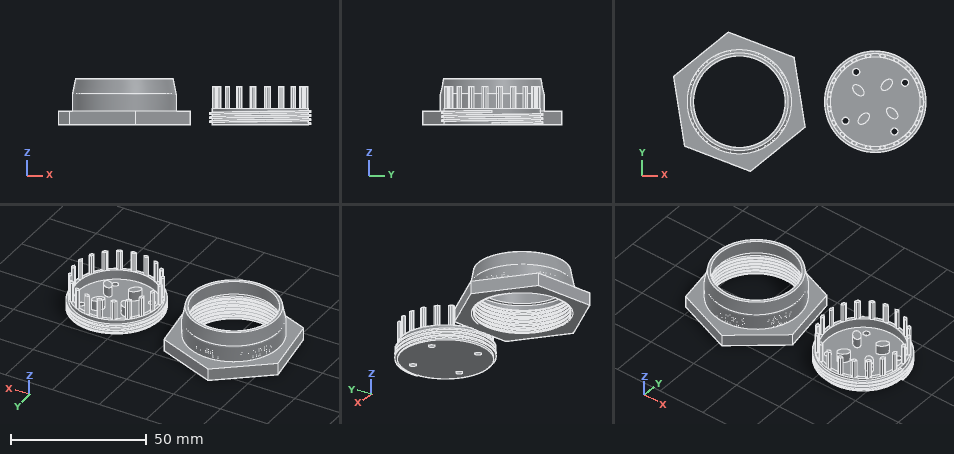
import cadquery as cq
import math

PITCH = 1.5

HEX_FLATS = 45.0
HEX_TURN = 39.0
HEX_HEIGHT = 5.0
COLLAR_DIAMETER = 38.4
COLLAR_TOP = 11.0
CONE_TOP_DIAMETER = 36.0
NUT_HEIGHT = 17.0
LIP_BORE = 33.6
LIP_BOTTOM = 11.5
NUT_ROOT_DIAMETER = 37.4
NUT_CREST_DIAMETER = 35.9
NUT_THREAD_START = -0.9
NUT_THREAD_ANGLE = 60.0
NUT_THREAD_TURNS = 7
NUT_BASE_WIDTH = 0.8
NUT_CREST_WIDTH = 0.5

CAP_X = 50.0
CAP_DIAMETER = 35.4
CAP_BORE = 33.0
CAP_HEIGHT = 6.0
FLOOR_THICKNESS = 2.0
CAP_THREAD_DIAMETER = 37.4
CAP_BASE_WIDTH = 0.8
CAP_CREST_WIDTH = 0.6
CAP_THREAD_START = 0.5
CAP_THREAD_TURNS = 3

PRONG_COUNT = 20
PRONG_TOP = 14.0
PRONG_WIDTH = 2.2
PRONG_FACE_WIDTH = 0.8

QUARTERS = 4
HOLE_DIAMETER = 2.5
HOLE_RADIUS = 13.0
HOLE_ANGLE = 32.7
BOSS_LENGTH = 5.0
BOSS_WIDTH = 3.1
BOSS_RADIUS = 7.5
BOSS_ANGLE = 55.8
BOSS_TILT = 45.0
BOSS_TOP = CAP_HEIGHT

THREAD_EMBED = 0.1


def thread_ridge(root_radius, crest_radius, base_width, crest_width, turns):
    """Helical trapezoidal ridge that starts at +X, centred on Z = 0 there.

    Its flanks run on past the root, so that the ridge overlaps the wall it stands on.
    """
    embed = math.copysign(THREAD_EMBED, root_radius - crest_radius)
    flank_slope = (base_width - crest_width) / (root_radius - crest_radius)
    embedded_width = base_width + flank_slope * embed
    profile = (
        cq.Workplane("XZ")
        .moveTo(root_radius + embed, -embedded_width / 2)
        .lineTo(crest_radius, -crest_width / 2)
        .lineTo(crest_radius, crest_width / 2)
        .lineTo(root_radius + embed, embedded_width / 2)
        .close()
    )
    helix = cq.Wire.makeHelix(PITCH, turns * PITCH, root_radius)
    return profile.sweep(cq.Workplane(obj=helix), isFrenet=True)


def make_nut():
    corner_diameter = HEX_FLATS / math.cos(math.pi / 6)
    flange = (
        cq.Workplane("XY")
        .polygon(6, corner_diameter)
        .extrude(HEX_HEIGHT)
        .rotate((0, 0, 0), (0, 0, 1), HEX_TURN)
    )
    collar = (
        cq.Workplane("XZ")
        .moveTo(0, 0)
        .lineTo(COLLAR_DIAMETER / 2, 0)
        .lineTo(COLLAR_DIAMETER / 2, COLLAR_TOP)
        .lineTo(CONE_TOP_DIAMETER / 2, NUT_HEIGHT)
        .lineTo(0, NUT_HEIGHT)
        .close()
        .revolve(360, (0, 0), (0, 1))
    )
    lip_bore = cq.Workplane("XY", origin=(0, 0, LIP_BOTTOM)).circle(LIP_BORE / 2).extrude(NUT_HEIGHT - LIP_BOTTOM)
    thread_bore = cq.Workplane("XY").circle(NUT_ROOT_DIAMETER / 2).extrude(LIP_BOTTOM)
    ridge = thread_ridge(
        NUT_ROOT_DIAMETER / 2, NUT_CREST_DIAMETER / 2, NUT_BASE_WIDTH, NUT_CREST_WIDTH, NUT_THREAD_TURNS
    )
    placed_ridge = (
        ridge
        .rotate((0, 0, 0), (0, 0, 1), NUT_THREAD_ANGLE)
        .translate((0, 0, NUT_THREAD_START))
    )
    return flange.union(collar).cut(lip_bore).cut(thread_bore.cut(placed_ridge))


def make_prongs():
    """Flattened hexagonal prongs as thick as the rim wall."""
    wall = (CAP_DIAMETER - CAP_BORE) / 2
    outline = [
        (0, -PRONG_WIDTH / 2),
        (wall / 2, -PRONG_FACE_WIDTH / 2),
        (wall / 2, PRONG_FACE_WIDTH / 2),
        (0, PRONG_WIDTH / 2),
        (-wall / 2, PRONG_FACE_WIDTH / 2),
        (-wall / 2, -PRONG_FACE_WIDTH / 2),
    ]
    step = 360 / PRONG_COUNT
    return (
        cq.Workplane("XY", origin=(0, 0, CAP_HEIGHT))
        .polarArray((CAP_DIAMETER + CAP_BORE) / 4, step / 2, 360, PRONG_COUNT)
        .eachpoint(
            lambda place: cq.Workplane("XY")
            .polyline(outline)
            .close()
            .extrude(PRONG_TOP - CAP_HEIGHT)
            .val()
            .moved(place)
        )
    )


def make_floor_bosses():
    bosses = cq.Workplane("XY")
    for quarter in range(QUARTERS):
        turn = quarter * 360 / QUARTERS
        boss = (
            cq.Workplane("XY", origin=(0, 0, FLOOR_THICKNESS))
            .ellipse(BOSS_LENGTH / 2, BOSS_WIDTH / 2)
            .extrude(BOSS_TOP - FLOOR_THICKNESS)
            .rotate((0, 0, 0), (0, 0, 1), BOSS_TILT - BOSS_ANGLE)
            .translate((BOSS_RADIUS, 0, 0))
            .rotate((0, 0, 0), (0, 0, 1), BOSS_ANGLE + turn)
        )
        bosses = bosses.add(boss)
    return bosses


def make_cap():
    cup = (
        cq.Workplane("XY")
        .circle(CAP_DIAMETER / 2)
        .extrude(CAP_HEIGHT)
        .cut(cq.Workplane("XY", origin=(0, 0, FLOOR_THICKNESS)).circle(CAP_BORE / 2).extrude(CAP_HEIGHT))
    )
    ridge = thread_ridge(
        CAP_DIAMETER / 2, CAP_THREAD_DIAMETER / 2, CAP_BASE_WIDTH, CAP_CREST_WIDTH, CAP_THREAD_TURNS
    ).translate((0, 0, CAP_THREAD_START))
    holes = (
        cq.Workplane("XY")
        .polarArray(HOLE_RADIUS, HOLE_ANGLE, 360, QUARTERS)
        .circle(HOLE_DIAMETER / 2)
        .extrude(FLOOR_THICKNESS)
    )
    cap = cup.union(ridge).cut(holes)
    for part in make_prongs().vals() + make_floor_bosses().vals():
        cap = cap.union(cq.Workplane(obj=part))
    return cap.translate((CAP_X, 0, 0))


nut = make_nut()
cap = make_cap()

result = cq.Compound.makeCompound([nut.val(), cap.val()])